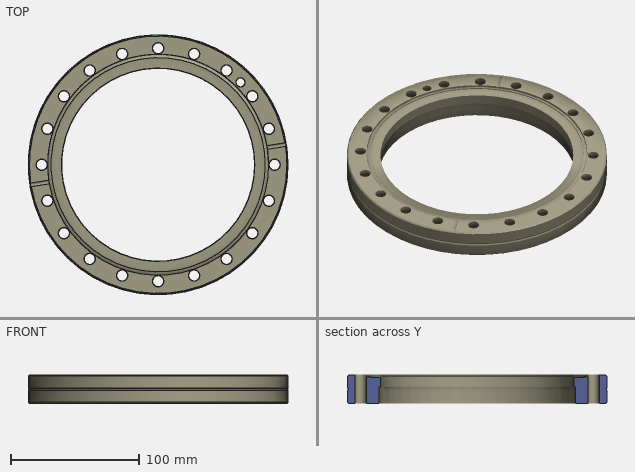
import cadquery as cq
import math

outer_radius = 101.2
thickness = 22.3
rim_chamfer = 1.0
mid_height = thickness / 2

rim_groove_width = 2.0
rim_groove_depth = 0.6

bore_radius = 75.0
socket_radius = 76.5
socket_depth = 12.5

recess_radius = 86.0
recess_depth = 1.6
knife_radius = 83.4
knife_height = 0.8

pitch_radius = 90.7
bolt_count = 20
bolt_diameter = 8.5
small_hole_diameter = 6.9
small_hole_angle = 45.0

leak_groove_width = 2.8
leak_groove_depth = 0.6
leak_groove_angle = 180 / bolt_count


def ring_body():
    """Revolve the half section of the flange about Z."""
    floor_height = thickness - recess_depth
    half_groove = rim_groove_width / 2
    section = (
        cq.Workplane("XZ")
        .moveTo(socket_radius, 0)
        .lineTo(outer_radius - rim_chamfer, 0)
        .lineTo(outer_radius, rim_chamfer)
        .lineTo(outer_radius, mid_height - half_groove)
        .lineTo(outer_radius - rim_groove_depth, mid_height)
        .lineTo(outer_radius, mid_height + half_groove)
        .lineTo(outer_radius, thickness - rim_chamfer)
        .lineTo(outer_radius - rim_chamfer, thickness)
        .lineTo(recess_radius, thickness)
        .lineTo(recess_radius, floor_height)
        .lineTo(knife_radius, floor_height + knife_height)
        .lineTo(knife_radius, floor_height)
        .lineTo(bore_radius, floor_height)
        .lineTo(bore_radius, socket_depth)
        .lineTo(socket_radius, socket_depth)
        .close()
    )
    return section.revolve(360, (0, 0, 0), (0, 1, 0))


def bolt_holes():
    """Evenly spaced through holes, the first on +X."""
    return (
        cq.Workplane("XY")
        .polarArray(pitch_radius, 0, 360, bolt_count)
        .circle(bolt_diameter / 2)
        .extrude(thickness)
    )


def small_hole():
    """Single through hole between two bolt holes."""
    angle = math.radians(small_hole_angle)
    return (
        cq.Workplane("XY")
        .center(pitch_radius * math.cos(angle), pitch_radius * math.sin(angle))
        .circle(small_hole_diameter / 2)
        .extrude(thickness)
    )


def leak_groove(angle):
    """Cylinder cutting a shallow radial channel from the recess to the rim."""
    half_width = leak_groove_width / 2
    cutter_radius = (half_width**2 + leak_groove_depth**2) / (2 * leak_groove_depth)
    axis_height = thickness - leak_groove_depth + cutter_radius
    start_radius = (knife_radius + recess_radius) / 2
    return (
        cq.Workplane("YZ", origin=(start_radius, 0, axis_height))
        .circle(cutter_radius)
        .extrude(outer_radius - start_radius)
        .rotate((0, 0, 0), (0, 0, 1), angle)
    )


result = ring_body().cut(bolt_holes()).cut(small_hole())
for half_turn in (0, 180):
    result = result.cut(leak_groove(leak_groove_angle + half_turn))